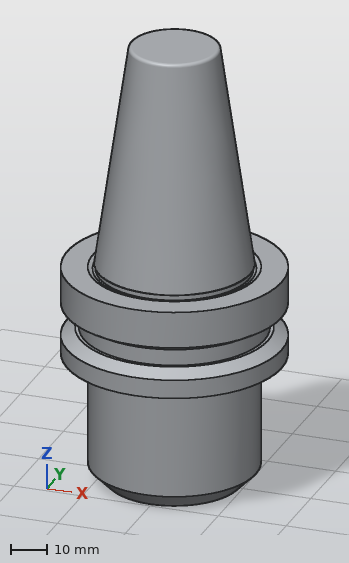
import cadquery as cq
import math

total_length = 130.4
nose_chamfer = 5.0
flange_bottom = 38.0
flange_top = 63.9
gauge_level = 65.0
groove_lower_edge = 43.4
groove_upper_edge = 53.2
groove_wall_angle = 30

nose_diameter = 48.0
flange_diameter = 63.0
groove_diameter = 53.0
groove_ledge_diameter = 55.0
neck_diameter = 43.8
gauge_diameter = 44.5

shank_taper = 7 / 24
shank_end_radius = 1.0

recess_diameter = 48.0
recess_floor_diameter = 45.4
recess_depth = 0.5


def revolve_profile(points):
    """Revolve a closed (radius, height) outline around the Z axis."""
    return cq.Workplane("XZ").polyline(points).close().revolve(360, (0, 0), (0, 1))


def make_nose():
    radius = nose_diameter / 2
    nose = cq.Workplane("XY").circle(radius).extrude(flange_bottom)
    return nose.faces("<Z").chamfer(nose_chamfer)


def make_flange():
    """Flange with a V-sided gripper groove and a countersunk upper face."""
    outer = flange_diameter / 2
    groove = groove_diameter / 2
    ledge = groove_ledge_diameter / 2
    wall_rise = (outer - ledge) * math.tan(math.radians(groove_wall_angle))
    return revolve_profile([
        (0, flange_bottom),
        (outer, flange_bottom),
        (outer, groove_lower_edge),
        (ledge, groove_lower_edge + wall_rise),
        (groove, groove_lower_edge + wall_rise),
        (groove, groove_upper_edge - wall_rise),
        (ledge, groove_upper_edge - wall_rise),
        (outer, groove_upper_edge),
        (outer, flange_top),
        (recess_diameter / 2, flange_top),
        (recess_floor_diameter / 2, flange_top - recess_depth),
        (0, flange_top - recess_depth),
    ])


def make_shank():
    """Relieved neck carrying the tapered shank with a rounded end."""
    taper_length = total_length - gauge_level
    end_radius = (gauge_diameter - taper_length * shank_taper) / 2
    shank = revolve_profile([
        (0, flange_top - recess_depth),
        (neck_diameter / 2, flange_top - recess_depth),
        (neck_diameter / 2, gauge_level),
        (gauge_diameter / 2, gauge_level),
        (end_radius, total_length),
        (0, total_length),
    ])
    return shank.faces(">Z").edges().fillet(shank_end_radius)


result = make_nose().union(make_flange()).union(make_shank())